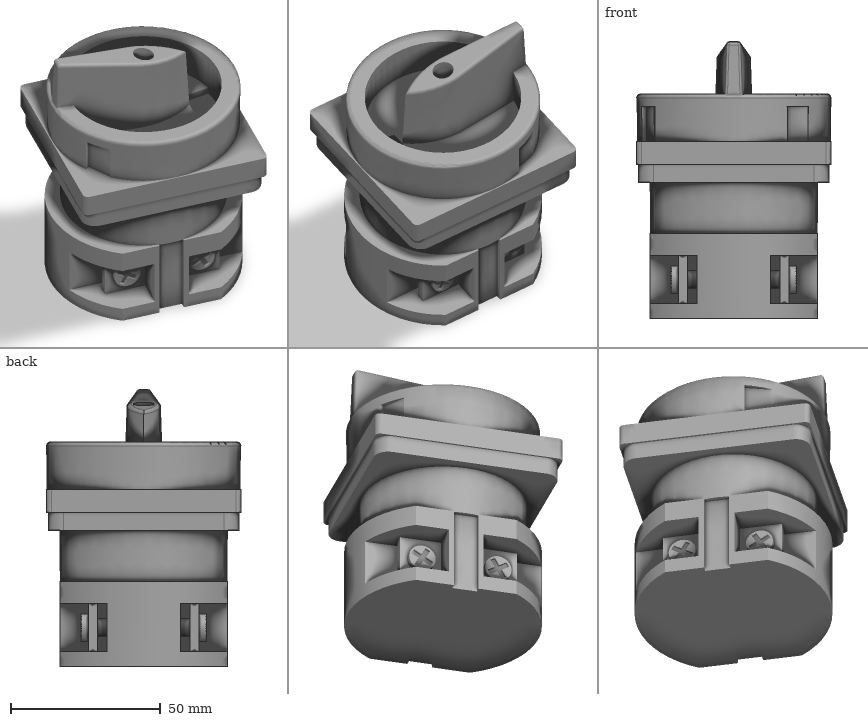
import cadquery as cq
import math

block_radius = 33.0
block_half_width = 28.0
block_height = 28.3
groove_width = 8.6
groove_depth = 2.0

window_inner_x = 12.3
window_inner_y = 6.06
window_bottom = 5.0
window_height = 16.0

plate_inner_x = 15.5
plate_outer_x = 18.5
terminal_length = 14.2
screw_shank_radius = 3.0
screw_head_radius = 4.6
screw_head_height = 2.4
cross_length = 7.6
cross_width = 1.8
cross_depth = 1.0
cross_angle = 30.0

neck_bottom_radius = 27.8
neck_top_radius = 28.0
neck_height = 17.1
flange_size = 63.6
flange_corner_radius = 5.0
flange_height = 6.0
panel_size = 65.0
panel_corner_radius = 1.8
panel_height = 7.7

ring_bottom_radius = 32.2
ring_top_radius = 32.4
ring_height = 15.8
ring_fillet = 1.4
pocket_radius = 26.1
pocket_depth = 12.9

recess_inner_y = 16.25
recess_inner_half_width = 4.9
recess_outer_half_width = 6.6
recess_depth = 2.5

notch_angles = (198.2, 303.7)
notch_floor_radius = 30.7
notch_length = 9.2
notch_height = 11.7

handle_tip_y = 16.25
handle_half_width = 6.4
handle_blend_start_y = -2.4
handle_blend_end_y = -3.7
handle_blend_inset = 0.1
handle_end_y = -32.1
handle_end_half_width = 3.2
handle_nose_bulge = 1.8
handle_draft = 2.0
handle_end_fillet = 0.8
handle_top_fillet = 1.2
handle_foot_fillet = 0.6
handle_slope = 9.1
handle_peak_inset = 2.32
handle_hole_radius = 3.5
handle_hole_depth = 10.0
total_height = 92.36

cut_margin = 20.0
trim_allowance = 5.0

flange_bottom = block_height + neck_height
panel_bottom = flange_bottom + flange_height
ring_bottom = panel_bottom + panel_height
ring_top = ring_bottom + ring_height
pocket_floor = ring_top - pocket_depth
window_center_z = window_bottom + window_height / 2


def box_between(x_range, y_range, z_range):
    """Axis-aligned box spanning the given coordinate ranges."""
    return cq.Workplane("XY").box(
        x_range[1] - x_range[0], y_range[1] - y_range[0], z_range[1] - z_range[0], centered=False
    ).translate((x_range[0], y_range[0], z_range[0]))


def make_cone(bottom_radius, top_radius, bottom_z, height):
    """Slightly conical upright disc."""
    cone = cq.Solid.makeCone(bottom_radius, top_radius, height, pnt=cq.Vector(0, 0, bottom_z))
    return cq.Workplane("XY").newObject([cone])


def make_terminal():
    """Terminal plate with its crosshead screw, in the +X +Y window."""
    window_top = window_bottom + window_height
    plate = box_between(
        (plate_inner_x, plate_outer_x),
        (window_inner_y, window_inner_y + terminal_length),
        (window_bottom, window_top),
    )
    screw_plane = cq.Plane(
        origin=(window_inner_x, window_inner_y + terminal_length / 2, window_center_z),
        xDir=(0, 1, 0),
        normal=(1, 0, 0),
    )
    head_start = plate_outer_x - window_inner_x
    head_end = head_start + screw_head_height
    shank = cq.Workplane(screw_plane).circle(screw_shank_radius).extrude(head_start)
    head = cq.Workplane(screw_plane).workplane(offset=head_start)
    head = head.circle(screw_head_radius).extrude(screw_head_height)
    terminal = plate.union(shank).union(head)
    for slot_angle in (cross_angle, cross_angle + 90):
        slot = cq.Workplane(screw_plane).workplane(offset=head_end - cross_depth)
        slot = slot.transformed(rotate=(0, 0, slot_angle))
        terminal = terminal.cut(slot.rect(cross_length, cross_width).extrude(cross_depth))
    return terminal


def make_block():
    """Contact block with side grooves, corner windows and terminals."""
    block = cq.Workplane("XY").circle(block_radius).extrude(block_height)
    block = block.intersect(
        cq.Workplane("XY").rect(2 * block_half_width, 2 * block_radius)
        .extrude(block_height)
    )
    groove_center_x = block_half_width - groove_depth / 2
    grooves = cq.Workplane("XY").pushPoints([(-groove_center_x, 0), (groove_center_x, 0)])
    block = block.cut(grooves.rect(groove_depth, groove_width).extrude(block_height))

    window = box_between(
        (window_inner_x, block_radius),
        (window_inner_y, block_radius),
        (window_bottom, window_bottom + window_height),
    )
    windows = window.union(window.mirror("YZ"))
    windows = windows.union(windows.mirror("XZ"))
    terminal = make_terminal()
    terminals = terminal.union(terminal.mirror("YZ"))
    terminals = terminals.union(terminals.mirror("XZ"))
    return block.cut(windows).union(terminals)


def make_body():
    """Tapered neck, mounting flange and square plate."""
    neck = make_cone(neck_bottom_radius, neck_top_radius, block_height, neck_height)
    flange = (
        cq.Workplane("XY", origin=(0, 0, flange_bottom)).rect(flange_size, flange_size)
        .extrude(flange_height).edges("|Z").fillet(flange_corner_radius)
    )
    panel = (
        cq.Workplane("XY", origin=(0, 0, panel_bottom)).rect(panel_size, panel_size)
        .extrude(panel_height).edges("|Z").fillet(panel_corner_radius)
    )
    return neck.union(flange).union(panel)


def make_ring():
    """Collar ring with its pocket, indicator recess and sunken flats."""
    ring = make_cone(ring_bottom_radius, ring_top_radius, ring_bottom, ring_height)
    ring = ring.faces(">Z").edges().fillet(ring_fillet)
    pocket = cq.Workplane("XY", origin=(0, 0, pocket_floor)).circle(pocket_radius)
    ring = ring.cut(pocket.extrude(pocket_depth))

    recess = (
        cq.Workplane("XY", origin=(0, 0, pocket_floor - recess_depth))
        .moveTo(-recess_inner_half_width, recess_inner_y)
        .lineTo(recess_inner_half_width, recess_inner_y)
        .lineTo(recess_outer_half_width, pocket_radius)
        .lineTo(-recess_outer_half_width, pocket_radius)
        .close().extrude(recess_depth)
    )
    recess = recess.intersect(
        cq.Workplane("XY", origin=(0, 0, pocket_floor - recess_depth)).circle(pocket_radius)
        .extrude(recess_depth)
    )
    ring = ring.cut(recess)

    for angle in notch_angles:
        notch = box_between(
            (notch_floor_radius, ring_top_radius + cut_margin),
            (0, notch_length),
            (ring_bottom, ring_bottom + notch_height),
        )
        ring = ring.cut(notch.rotate((0, 0, 0), (0, 0, 1), angle))
    return ring


def nose_midpoint():
    """Middle of the bulged nose curve on the +X side of the handle."""
    run_y = handle_tip_y - handle_blend_start_y
    chord = math.hypot(handle_half_width, run_y)
    mid_x = handle_half_width / 2 + handle_nose_bulge * run_y / chord
    mid_y = (handle_tip_y + handle_blend_start_y) / 2 + handle_nose_bulge * handle_half_width / chord
    return mid_x, mid_y


def make_handle():
    """Drafted pointer handle with a sloped, rounded top and a blind hole."""
    mid_x, mid_y = nose_midpoint()
    handle = (
        cq.Workplane("XY", origin=(0, 0, pocket_floor))
        .moveTo(0, handle_tip_y)
        .threePointArc((mid_x, mid_y), (handle_half_width, handle_blend_start_y))
        .tangentArcPoint((handle_half_width - handle_blend_inset, handle_blend_end_y), relative=False)
        .lineTo(handle_end_half_width, handle_end_y)
        .lineTo(0, handle_end_y)
        .mirrorY().extrude(total_height + trim_allowance - pocket_floor, taper=handle_draft)
        .clean()
    )
    handle = handle.faces("<Y").edges("not #Z").edges("not |X").fillet(handle_end_fillet)

    slope = math.tan(math.radians(handle_slope))
    peak_y = handle_end_y + handle_peak_inset
    tip_z = total_height - slope * (handle_tip_y - peak_y)
    end_z = total_height + slope * (peak_y - handle_end_y)
    above_top = (
        cq.Workplane("YZ").moveTo(handle_tip_y, tip_z).lineTo(handle_end_y, end_z)
        .lineTo(handle_end_y, end_z + cut_margin).lineTo(handle_tip_y, end_z + cut_margin)
        .close().extrude(cut_margin, both=True)
    )
    handle = handle.cut(above_top)
    handle = handle.faces(">Z").edges().fillet(handle_top_fillet)

    hole_top = total_height + slope * peak_y
    hole = cq.Workplane("XY", origin=(0, 0, hole_top - handle_hole_depth)).circle(handle_hole_radius)
    return handle.cut(hole.extrude(2 * handle_hole_depth))


def blend_handle_foot(part):
    """Round the inside corner where the handle end meets the rounded rim of the ring."""
    foot_corner = cq.selectors.BoxSelector(
        (-handle_half_width, -ring_top_radius, ring_top - ring_fillet),
        (handle_half_width, -ring_top_radius + ring_fillet, ring_top),
    )
    return part.edges(foot_corner).fillet(handle_foot_fillet)


result = blend_handle_foot(make_block().union(make_body()).union(make_ring()).union(make_handle()))